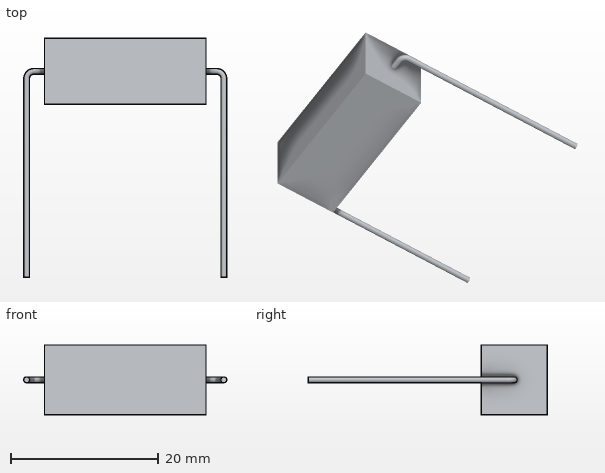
import cadquery as cq

body_length = 22.0
body_depth = 9.0
body_height = 9.5

lead_span = 27.6
lead_reach = 28.0
wire_diameter = 0.8
bend_radius = 1.0

wire_radius = wire_diameter / 2
body_end_x = body_length / 2
lead_x = lead_span / 2 - wire_radius
bend_start_x = lead_x - bend_radius
stub_length = bend_start_x - body_end_x
straight_length = lead_reach - bend_radius


def make_body():
    return cq.Workplane("XY").box(body_length, body_depth, body_height)


def make_lead(side):
    """One lead on the end face at side = +1 (+X) or -1 (-X): stub, quarter bend, long straight."""
    stub = (
        cq.Workplane("YZ", origin=(side * body_end_x, 0, 0))
        .circle(wire_radius)
        .extrude(side * stub_length)
    )

    bend = (
        cq.Workplane("YZ", origin=(side * bend_start_x, 0, 0))
        .circle(wire_radius)
        .revolve(90, (-bend_radius, 0), (-bend_radius, -side))
    )

    straight = (
        cq.Workplane("XZ", origin=(side * lead_x, -bend_radius, 0))
        .circle(wire_radius)
        .extrude(straight_length)
    )
    return stub.union(bend).union(straight)


body = make_body()
leads = [make_lead(side) for side in (-1, 1)]

result = cq.Compound.makeCompound([body.val(), *[lead.val() for lead in leads]])